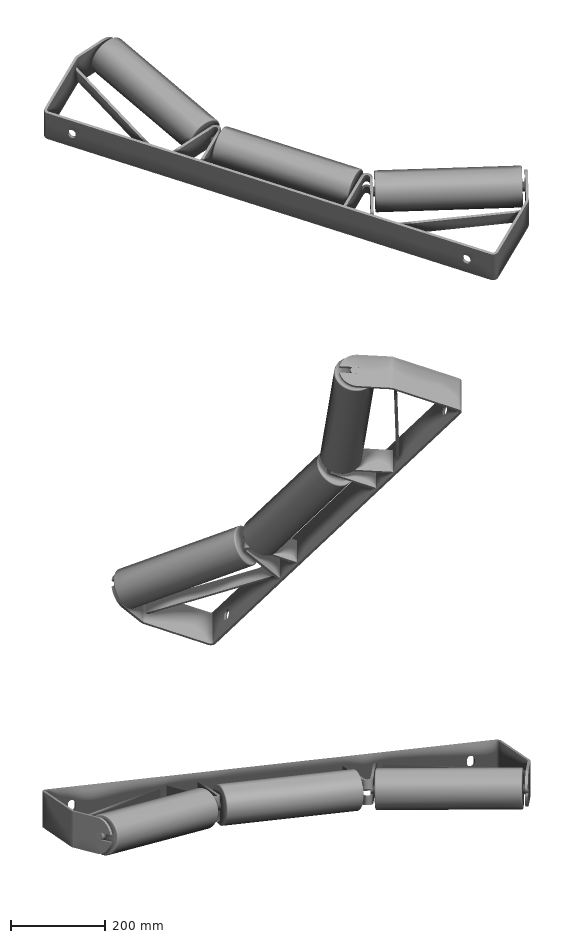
import cadquery as cq
import math


thickness = 6.0
bend_radius = 2 * thickness
knee_radius = 3 * thickness
trough_angle = 25.0
slope_sin = math.sin(math.radians(trough_angle))
slope_cos = math.cos(math.radians(trough_angle))

frame_length = 1050.0
frame_half = frame_length / 2
frame_height = 80.0
knee_y = 175.0
plate_length = 113.0
mount_hole_x = 457.0
mount_hole_width = 18.0
mount_hole_height = 24.0

bracket_height = 56.0
upright_x = 163.0
bracket_foot_x = 240.0
hump_radius = 13.0

strut_height = 30.0
strut_foot_x = 254.0
strut_top_y = 169.0

roller_diameter = 89.0
roller_length = 314.0
rim_radius = 3.0
center_roller_y = 99.0
center_roller_z = -6.5
side_roller_x = 339.0
side_roller_y = 175.0
side_roller_z = center_roller_z / 2
side_roller_tilt = 1.2

shaft_diameter = 21.0
shaft_flat_width = 16.0
slot_reach = 63.0


def distance_along_side_axis(x, y):
    """Distance of a point from the left side roller's middle, along its axis towards the base."""
    return (x + side_roller_x) * slope_cos - (y - side_roller_y) * slope_sin


plate_outer = distance_along_side_axis(-frame_half, knee_y)
bracket_near = distance_along_side_axis(-bracket_foot_x, thickness)
side_shaft_ends = (plate_outer, bracket_near + thickness)
center_shaft_ends = (-upright_x - thickness, upright_x + thickness)

side_slot_ends = (plate_outer - thickness, bracket_near + hump_radius)
center_slot_ends = (-upright_x - hump_radius, upright_x + hump_radius)


def mirrored(body):
    return body.mirror("YZ")


def place_center(body):
    return body.translate((0, center_roller_y, center_roller_z))


def place_side(body):
    """Move a body built along X at the origin onto the axis of the left side roller."""
    tilted = body.rotate((0, 0, 0), (0, 1, 0), side_roller_tilt)
    sloped = tilted.rotate((0, 0, 0), (0, 0, 1), -trough_angle)
    return sloped.translate((-side_roller_x, side_roller_y, side_roller_z))


def rod(diameter, ends):
    start, end = ends
    return cq.Workplane("YZ", origin=(start, 0, 0)).circle(diameter / 2).extrude(end - start)


def make_shaft(ends):
    """A round rod with two flats facing +Z and -Z."""
    start, end = ends
    between_flats = cq.Workplane("YZ", origin=(start, 0, 0)).rect(shaft_diameter, shaft_flat_width)
    return rod(shaft_diameter, ends).intersect(between_flats.extrude(end - start))


def make_slot_cutter(ends):
    """The shaft's own shape plus the opening above it."""
    start, end = ends
    opening = (
        cq.Workplane("YZ", origin=(start, slot_reach / 2, 0))
        .rect(slot_reach, shaft_flat_width)
        .extrude(end - start)
    )
    return make_shaft(ends).union(opening)


def make_roller(shaft_ends):
    barrel = rod(roller_diameter, (-roller_length / 2, roller_length / 2))
    barrel = barrel.faces("<X or >X").edges().fillet(rim_radius)
    return barrel.union(make_shaft(shaft_ends))


def make_end_rounding():
    """The material outside the half-round end of the left end plate."""
    radius = frame_height / 2
    depth = 4 * thickness
    block = cq.Workplane("YZ").rect(2 * radius, 3 * radius).extrude(depth / 2, both=True)
    disc = cq.Workplane("YZ").circle(radius).extrude(depth / 2, both=True)
    rounding = block.translate((0, radius, 0)).cut(disc)
    on_plate = rounding.translate((0, plate_length - radius, 0))
    return on_plate.rotate((0, 0, 0), (0, 0, 1), -trough_angle).translate((-frame_half, knee_y, 0))


def make_frame(side_slot):
    uncut_length = plate_length + thickness
    tip_x = frame_half - uncut_length * slope_sin
    tip_y = knee_y + uncut_length * slope_cos
    outline = [
        (-tip_x, tip_y),
        (-frame_half, knee_y),
        (-frame_half, 0),
        (frame_half, 0),
        (frame_half, knee_y),
        (tip_x, tip_y),
    ]
    frame = cq.Workplane("XY").polyline(outline).close().extrude(frame_height / 2, both=True)
    frame = frame.edges("|Z and <Y").fillet(bend_radius)
    frame = frame.edges("|Z and (<X or >X)").edges(">Y").fillet(knee_radius)
    frame = frame.faces("<Z or >Z or >Y").shell(-thickness)

    mount_holes = (
        cq.Workplane("XZ")
        .pushPoints([(-mount_hole_x, 0), (mount_hole_x, 0)])
        .slot2D(mount_hole_height, mount_hole_width, 90)
        .extrude(-thickness)
    )
    frame = frame.cut(mount_holes)

    for cutter in (make_end_rounding(), side_slot):
        frame = frame.cut(cutter).cut(mirrored(cutter))
    return frame


def make_bracket(side_slot, center_slot):
    """The left bracket: a bent strip standing on the base."""
    apex_y = thickness + (bracket_foot_x - upright_x) * slope_cos / slope_sin
    outline = [(-bracket_foot_x, thickness), (-upright_x, apex_y), (-upright_x, thickness)]
    bracket = (
        cq.Workplane("XY", origin=(0, 0, center_roller_z))
        .polyline(outline)
        .close()
        .extrude(bracket_height / 2, both=True)
    )
    bracket = bracket.edges("|Z and >Y").fillet(hump_radius)
    bracket = bracket.faces("<Z or >Z or <Y").shell(-thickness)
    return bracket.cut(side_slot).cut(center_slot)


def make_strut():
    """The left strut, its ends cut to sit flat on the base and the leg."""
    leg_x = frame_half - thickness
    slope = math.atan2(strut_top_y - thickness, leg_x - strut_foot_x)
    outline = [
        (-strut_foot_x, thickness),
        (-leg_x, strut_top_y),
        (-leg_x, strut_top_y - thickness / math.cos(slope)),
        (-strut_foot_x - thickness / math.sin(slope), thickness),
    ]
    return cq.Workplane("XY").polyline(outline).close().extrude(strut_height / 2, both=True)


side_slot = place_side(make_slot_cutter(side_slot_ends))
center_slot = place_center(make_slot_cutter(center_slot_ends))

frame = make_frame(side_slot)
center_roller = place_center(make_roller(center_shaft_ends))
bodies = [frame.solids().val(), center_roller.solids().val()]

left_bracket = make_bracket(side_slot, center_slot)
left_strut = make_strut()
left_side_roller = place_side(make_roller(side_shaft_ends))
for left_body in (left_bracket, left_strut, left_side_roller):
    bodies += [left_body.solids().val(), mirrored(left_body).solids().val()]

result = cq.Compound.makeCompound(bodies)